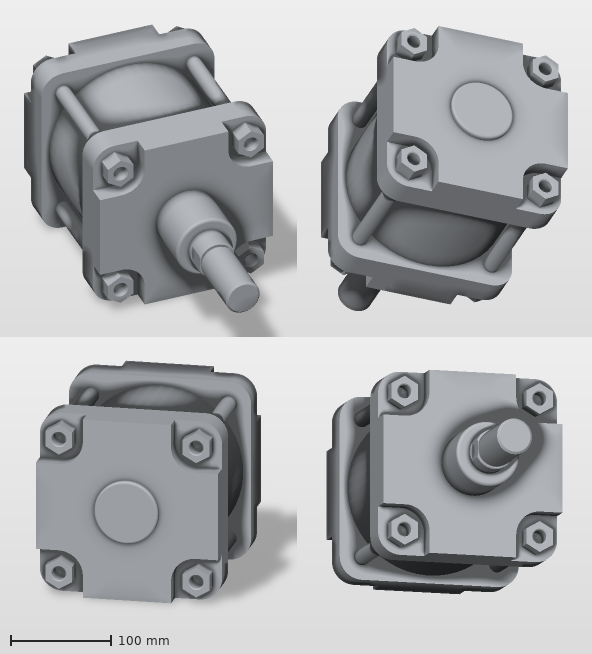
import cadquery as cq


cap_side = 186.0
cap_thickness = 47.2
cap_corner_radius = 23.0
corner_recess_side = 48.0
corner_recess_depth = 19.0

barrel_length = 110.0
barrel_radius = 85.0

boss_radius = 32.5
rear_boss_length = 5.8
rear_boss_fillet = 2.5
neck_length = 56.0
neck_fillet = 3.3

collar_radius = 20.5
collar_length = 25.5
collar_chamfer = 1.0
flats_offset = 5.5
flats_width = 36.3
groove_radius = 17.0
groove_length = 3.0
thread_radius = 18.0
thread_chamfer = 2.0
overall_length = 363.0

tie_rod_radius = 8.0
head_across_flats = 27.2
head_height = 17.0
socket_radius = 7.0
socket_chamfer = 1.0

body_length = 2 * cap_thickness + barrel_length
neck_end = body_length + neck_length
rod_end = overall_length - rear_boss_length
thread_start = neck_end + collar_length + groove_length
tie_rod_offset = cap_side / 2 - cap_corner_radius
recess_centre = cap_side / 2 - corner_recess_side / 2
head_start = corner_recess_depth - head_height
quadrants = [(1, 1), (1, -1), (-1, 1), (-1, -1)]


def section(x):
    """Cross-section plane at x: local x is +Y, local y is +Z, and extrusion goes toward +X."""
    return cq.Workplane("YZ", origin=(x, 0, 0))


def cylinder(start, length, radius):
    return section(start).circle(radius).extrude(length)


def at_corners(offset):
    return [(offset * side_y, offset * side_z) for side_y, side_z in quadrants]


def mirror_end_to_end(shape):
    """Mirror about the middle of the barrel, so that the rear end becomes the front end."""
    return shape.mirror("YZ", (body_length / 2, 0, 0))


def make_plain_cap():
    """Cap at the rear end: recessed outer corners and holes for the tie rods."""
    cap = section(0).rect(cap_side, cap_side).extrude(cap_thickness)
    cap = cap.edges("|X").fillet(cap_corner_radius)

    for side_y, side_z in quadrants:
        recess = (
            section(0)
            .center(side_y * recess_centre, side_z * recess_centre)
            .rect(corner_recess_side, corner_recess_side)
            .extrude(corner_recess_depth)
        )
        inner_y = "<Y" if side_y > 0 else ">Y"
        inner_z = "<Z" if side_z > 0 else ">Z"
        inner_corner = recess.faces(inner_y).edges(inner_z)
        cap = cap.cut(inner_corner.fillet(corner_recess_side - cap_corner_radius))

    tie_rod_holes = section(0).pushPoints(at_corners(tie_rod_offset)).circle(tie_rod_radius)
    return cap.cut(tie_rod_holes.extrude(cap_thickness))


def make_rear_cap():
    boss = cylinder(-rear_boss_length, rear_boss_length, boss_radius)
    boss = boss.faces("<X").edges().fillet(rear_boss_fillet)
    return make_plain_cap().union(boss)


def make_front_cap():
    neck = cylinder(body_length, neck_length, boss_radius)
    neck = neck.faces(">X").edges().fillet(neck_fillet)
    return mirror_end_to_end(make_plain_cap()).union(neck)


def make_barrel():
    return cylinder(cap_thickness, barrel_length, barrel_radius)


def make_piston_rod():
    collar = cylinder(neck_end, collar_length, collar_radius)
    collar = collar.faces(">X").edges().chamfer(collar_chamfer)

    flats_length = collar_length - flats_offset
    between_flats = section(neck_end + flats_offset).rect(flats_width, 2 * collar_radius).extrude(flats_length)
    collar = collar.intersect(cylinder(neck_end, flats_offset, collar_radius).union(between_flats))

    groove = cylinder(neck_end + collar_length, groove_length, groove_radius)
    thread = cylinder(thread_start, rod_end - thread_start, thread_radius)
    thread = thread.faces(">X").edges().chamfer(thread_chamfer)
    return collar.union(groove).union(thread)


def make_tie_rod(centre_y, centre_z):
    """Rod through both caps, with a socketed hexagonal head in the corner recess at each end."""
    head = (
        section(head_start)
        .polygon(6, head_across_flats, circumscribed=True)
        .extrude(head_height)
    )
    socket = cylinder(head_start, head_height, socket_radius)
    head = head.cut(socket)
    socket_mouth = head.faces("<X").edges("%CIRCLE")
    head = socket_mouth.chamfer(socket_chamfer)

    shank = cylinder(corner_recess_depth, body_length - 2 * corner_recess_depth, tie_rod_radius)
    tie_rod = shank.union(head).union(mirror_end_to_end(head))
    return tie_rod.translate((0, centre_y, centre_z))


rear_cap = make_rear_cap()
front_cap = make_front_cap()
barrel = make_barrel()
piston_rod = make_piston_rod()
tie_rods = [make_tie_rod(y, z) for y, z in at_corners(tie_rod_offset)]

result = cq.Compound.makeCompound(
    [
        rear_cap.val(),
        front_cap.val(),
        barrel.val(),
        piston_rod.val(),
        *[tie_rod.val() for tie_rod in tie_rods],
    ]
)